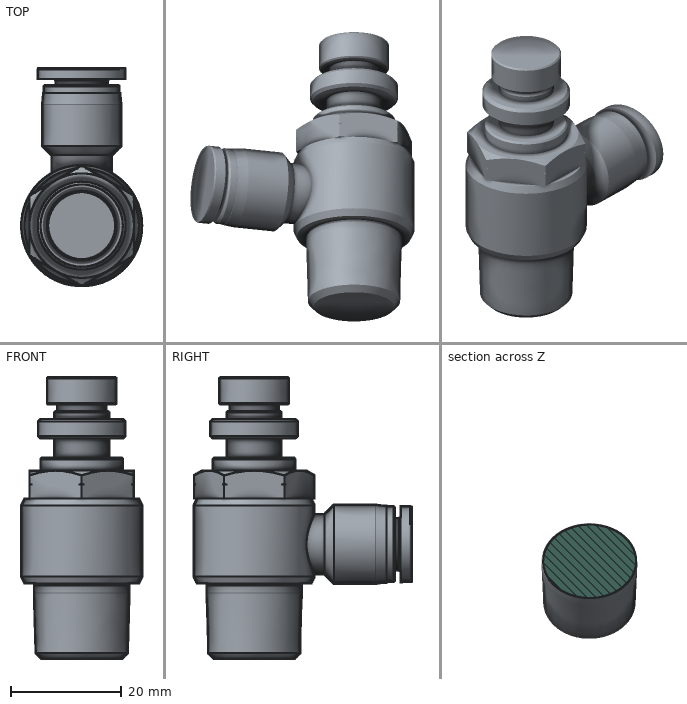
import cadquery as cq
import math


TOTAL_HEIGHT = 51.2
THREAD_CHAMFER_TOP = 1.1
THREAD_TAPER_TOP = 12.0
THREAD_TOP = 13.3
SLEEVE_BOTTOM = 13.7
SLEEVE_TOP = 29.15
HEX_TOP = 34.2
COLLAR_TOP = 36.55
LOCK_RING_BOTTOM = 40.05
LOCK_RING_TOP = 43.6
STEM_TOP = 45.05
HEAD_BOTTOM = 46.25

SLEEVE_RADIUS = 11.0
SLEEVE_CHAMFER_RADIAL = 0.6
SLEEVE_CHAMFER_AXIAL = 1.25

ARM_RADIUS = 7.2
ARM_RIM_RADIUS = 7.0
ARM_NECK_RADIUS = 5.55
ARM_NECK_END = 12.8
ARM_TAPER_START = 22.0
ARM_END = 24.05
ARM_CONE_END = ARM_NECK_END + ARM_RADIUS - ARM_NECK_RADIUS
ARM_AXIS_HEIGHT = 20.85

GUIDE_RADIUS = 6.9
GUIDE_CHAMFER = 0.3
GUIDE_END = 25.6
COLLET_RADIUS = 4.8
COLLET_FLARE_RADIUS = 4.9
COLLET_FLARE_LENGTH = 0.25
FLANGE_START = 26.6
FLANGE_END = 28.65
FLANGE_HALF_WIDTH = 8.0
FLANGE_HALF_HEIGHT = 6.9
FLANGE_CHAMFER_AXIAL = 0.3
FLANGE_CHAMFER_RADIAL = 0.1

THREAD_END_RADIUS = 7.3
THREAD_LOW_RADIUS = 8.4
THREAD_RADIUS = 8.7
SHANK_RADIUS = 8.5
HEX_ACROSS_FLATS = 19.0
HEX_CORNER_RADIUS = HEX_ACROSS_FLATS / 2 / math.cos(math.pi / 6)
HEX_CHAMFER_ANGLE = 30.0
HEX_NOTCH_DEPTH = 0.2
COLLAR_RADIUS = 7.55
COLLAR_CHAMFER = 0.3

STEM_RADIUS = 5.0
STEM_CHAMFER = 0.3
LOCK_RING_RADIUS = 8.0
LOCK_RING_CHAMFER = 0.5
NECK_RADIUS = 4.5
HEAD_RADIUS = 6.35
HEAD_CHAMFER = 0.25


def cylinder(radius, bottom, top):
    """Upright cylinder on the main axis."""
    return cq.Workplane("XY").workplane(offset=bottom).circle(radius).extrude(top - bottom)


def arm_plane(distance):
    """Workplane across the arm, with its normal along +Y and its own x along -X."""
    return cq.Workplane("XZ", origin=(0, distance, ARM_AXIS_HEIGHT)).transformed(rotate=(0, 180, 0))


def make_elbow():
    """Sleeve with the stepped side arm, bored for the shank of the threaded body."""
    sleeve = cylinder(SLEEVE_RADIUS, SLEEVE_BOTTOM, SLEEVE_TOP)
    sleeve = sleeve.faces("<Z").chamfer(SLEEVE_CHAMFER_AXIAL, SLEEVE_CHAMFER_RADIAL)
    sleeve = sleeve.faces(">Z").chamfer(SLEEVE_CHAMFER_AXIAL, SLEEVE_CHAMFER_RADIAL)

    arm = (
        cq.Workplane("XY", origin=(0, 0, ARM_AXIS_HEIGHT))
        .lineTo(ARM_NECK_RADIUS, 0)
        .lineTo(ARM_NECK_RADIUS, ARM_NECK_END)
        .lineTo(ARM_RADIUS, ARM_CONE_END)
        .lineTo(ARM_RADIUS, ARM_TAPER_START)
        .lineTo(ARM_RIM_RADIUS, ARM_END)
        .lineTo(0, ARM_END)
        .close()
        .revolve(360, (0, 0), (0, 1))
    )
    bore = cylinder(SHANK_RADIUS, SLEEVE_BOTTOM, SLEEVE_TOP)
    return sleeve.union(arm).cut(bore)


def make_hex():
    """Hexagon with corners on the Y axis, its top corners cut back by a cone."""
    hexagon = (
        cq.Workplane("XY")
        .workplane(offset=SLEEVE_TOP)
        .transformed(rotate=(0, 0, 90))
        .polygon(6, 2 * HEX_CORNER_RADIUS)
        .extrude(HEX_TOP - SLEEVE_TOP)
    )
    slope = math.tan(math.radians(HEX_CHAMFER_ANGLE))
    flat_radius = HEX_ACROSS_FLATS / 2
    envelope = cylinder(SLEEVE_RADIUS, SLEEVE_TOP, HEX_TOP)
    cone_width = SLEEVE_RADIUS - flat_radius
    envelope = envelope.faces(">Z").chamfer(cone_width * slope, cone_width)

    mid_height = (SLEEVE_TOP + HEX_TOP) / 2
    notch_root = HEX_CORNER_RADIUS - HEX_NOTCH_DEPTH
    notch = (
        cq.Workplane("XZ")
        .moveTo(notch_root, mid_height)
        .lineTo(SLEEVE_RADIUS, mid_height)
        .lineTo(SLEEVE_RADIUS, mid_height + (SLEEVE_RADIUS - notch_root) * slope)
        .close()
        .revolve(360, (0, 0), (0, 1))
    )
    return hexagon.intersect(envelope).cut(notch)


def make_threaded_body():
    """Tapered thread, shank through the sleeve, hexagon and top collar."""
    thread_and_shank = (
        cq.Workplane("XZ")
        .lineTo(THREAD_END_RADIUS, 0)
        .lineTo(THREAD_LOW_RADIUS, THREAD_CHAMFER_TOP)
        .lineTo(THREAD_RADIUS, THREAD_TAPER_TOP)
        .lineTo(THREAD_RADIUS, THREAD_TOP)
        .lineTo(SHANK_RADIUS, THREAD_TOP)
        .lineTo(SHANK_RADIUS, SLEEVE_TOP)
        .lineTo(0, SLEEVE_TOP)
        .close()
        .revolve(360, (0, 0), (0, 1))
    )
    collar = cylinder(COLLAR_RADIUS, HEX_TOP, COLLAR_TOP).faces(">Z").chamfer(COLLAR_CHAMFER)
    return thread_and_shank.union(make_hex()).union(collar)


def make_needle():
    """Stem standing on the collar, with its lock ring, neck and round head."""
    stem = cylinder(STEM_RADIUS, COLLAR_TOP, STEM_TOP).faces(">Z").chamfer(STEM_CHAMFER)
    lock_ring = cylinder(LOCK_RING_RADIUS, LOCK_RING_BOTTOM, LOCK_RING_TOP)
    lock_ring = lock_ring.faces("<Z or >Z").chamfer(LOCK_RING_CHAMFER)
    neck = cylinder(NECK_RADIUS, STEM_TOP, HEAD_BOTTOM)
    head = cylinder(HEAD_RADIUS, HEAD_BOTTOM, TOTAL_HEIGHT).faces("<Z or >Z").chamfer(HEAD_CHAMFER)
    return stem.union(lock_ring).union(neck).union(head)


def make_cartridge():
    """Guide ring on the arm end with the collet and its oval release flange."""
    guide = arm_plane(ARM_END).circle(GUIDE_RADIUS).extrude(GUIDE_END - ARM_END)
    guide = guide.faces(">Y").chamfer(GUIDE_CHAMFER)
    collet = (
        cq.Workplane("XY", origin=(0, 0, ARM_AXIS_HEIGHT))
        .moveTo(0, GUIDE_END)
        .lineTo(COLLET_RADIUS, GUIDE_END)
        .lineTo(COLLET_RADIUS, FLANGE_START - COLLET_FLARE_LENGTH)
        .lineTo(COLLET_FLARE_RADIUS, FLANGE_START)
        .lineTo(0, FLANGE_START)
        .close()
        .revolve(360, (0, 0), (0, 1))
    )
    flange = (
        arm_plane(FLANGE_START)
        .ellipse(FLANGE_HALF_WIDTH, FLANGE_HALF_HEIGHT)
        .extrude(FLANGE_END - FLANGE_START)
        .faces(">Y")
        .chamfer(FLANGE_CHAMFER_AXIAL, FLANGE_CHAMFER_RADIAL)
    )
    return guide.union(collet).union(flange)


elbow = make_elbow()
threaded_body = make_threaded_body()
needle = make_needle()
cartridge = make_cartridge()

bodies = [elbow, threaded_body, needle, cartridge]
result = cq.Compound.makeCompound([body.solids().val() for body in bodies])